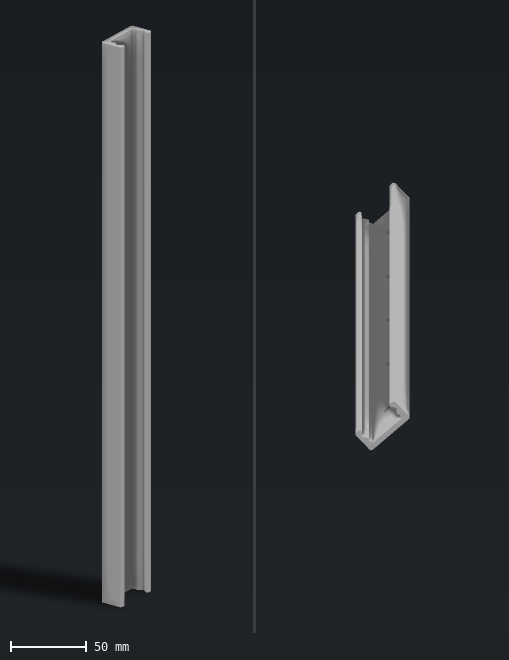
import cadquery as cq

length = 400.0
depth = 16.5
width = 35.0
web_thickness = 3.5
flange_thickness = 5.0
edge_radius = 1.5
tip_radius = 1.5

race_start = 8.0
race_end = 15.0
race_depth = 2.5

relief_start = 5.0
relief_end = 7.0
relief_depth = 1.0

hole_diameter = 6.5
hole_count = 5
hole_pitch = length / hole_count

half_width = width / 2
inner_y = half_width - flange_thickness


def channel():
    """C-shaped body with rounded outer edges and flange tips."""
    body = (
        cq.Workplane("XY")
        .box(depth, width, length, centered=(False, True, False))
        .edges("|Z")
        .fillet(edge_radius)
    )
    cavity = (
        cq.Workplane("XY")
        .box(depth, 2 * inner_y, length, centered=(False, True, False))
        .translate((web_thickness, 0, 0))
    )
    tip_corners = cq.selectors.BoxSelector(
        (depth - tip_radius / 2, -inner_y - tip_radius / 2, 0),
        (depth + tip_radius / 2, inner_y + tip_radius / 2, length),
    )
    return body.cut(cavity).edges("|Z").edges(tip_corners).fillet(tip_radius)


def flange_grooves():
    """Ball race and relief for the +Y flange, open towards the cavity."""
    race_middle = (race_start + race_end) / 2
    race = (
        cq.Workplane("XY")
        .moveTo(race_start, inner_y)
        .lineTo(race_middle, inner_y + race_depth)
        .lineTo(race_end, inner_y)
        .close()
        .extrude(length)
    )
    relief_middle = (relief_start + relief_end) / 2
    relief = (
        cq.Workplane("XY")
        .moveTo(relief_start, inner_y)
        .threePointArc((relief_middle, inner_y + relief_depth), (relief_end, inner_y))
        .close()
        .extrude(length)
    )
    return race.union(relief)


def mounting_holes():
    """Row of evenly pitched through holes on the centreline of the web."""
    centers = [(0, hole_pitch * (i + 0.5)) for i in range(hole_count)]
    return (
        cq.Workplane("YZ")
        .pushPoints(centers)
        .circle(hole_diameter / 2)
        .extrude(web_thickness)
    )


grooves = flange_grooves()
result = channel().cut(grooves).cut(grooves.mirror("XZ")).cut(mounting_holes())